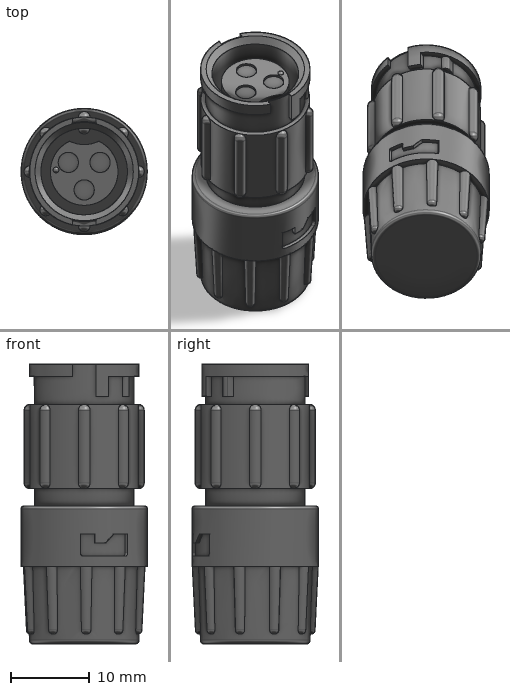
import cadquery as cq
import math

total_height = 35.43
flange_thickness = 1.55
flange_bottom = total_height - flange_thickness
lug_bottom = 31.34
collar_top = 30.34
collar_bottom = 19.66
sleeve_top = 17.48
sleeve_bottom = 9.82

flange_radius = 6.93
mouth_radius = 6.33
collar_radius = 6.9
neck_radius = 6.28
sleeve_radius = 8.0
sleeve_fillet = 0.38
nut_top_radius = 7.25
nut_bottom_radius = 6.93
nut_fillet = 0.5

flange_gap_width = 3.0
key_lug_width = 1.55
stop_radius = 0.65
stop_center_x = 5.05
stop_center_y = -3.49

collar_rib_count = 8
collar_rib_radius = 0.75
collar_rib_circle_radius = 6.86

lower_body_turn = 20.0

nut_rib_count = 10
nut_rib_top_radius = 0.74
nut_rib_end_radius = 0.6
nut_rib_end_round = 0.5
nut_rib_bottom = 1.27
nut_rib_overlap = 0.3

window_top = 13.91
window_bottom = 11.13
window_half_angle = 23.5
window_depth = 0.45
window_corner = 0.4
tooth_bottom = 12.81
tooth_angle = 10.0
tooth_slope_angle = 8.0

socket_radius = 5.48
socket_chamfer = 0.74
socket_depth = 8.0
socket_floor = total_height - socket_depth
key_radius = 0.72
key_dome_center = 32.8

insert_radius = 4.28
insert_top = 33.3
insert_notch_half_width = 1.86
insert_notch_bottom = 3.42
contact_count = 3
contact_radius = 1.28
contact_circle_radius = 2.32
contact_depth = 0.3
dot_radius = 0.36
dot_height = 0.2
dot_x = -3.57
dot_y = 0.2


def disc(radius, bottom, top):
    return cq.Workplane("XY").workplane(offset=bottom).circle(radius).extrude(top - bottom)


def about_axis(shape, angle):
    return shape.rotate((0, 0, 0), (0, 0, 1), angle)


def polar(radius, angle):
    """Point at an angle measured from -Y toward +X."""
    return radius * math.sin(math.radians(angle)), -radius * math.cos(math.radians(angle))


def make_nut():
    nut = (
        cq.Workplane("XZ")
        .moveTo(0, 0)
        .lineTo(nut_bottom_radius, 0)
        .lineTo(nut_top_radius, sleeve_bottom)
        .lineTo(0, sleeve_bottom)
        .close()
        .revolve(360, (0, 0, 0), (0, 1, 0))
    )
    return nut.faces("<Z").edges().fillet(nut_fillet)


def make_nut_rib(angle):
    """Tapered round rib with a rounded lower end, its axis lying on the nut's cone."""
    taper = math.atan2(nut_top_radius - nut_bottom_radius, sleeve_bottom)
    length = sleeve_bottom + nut_rib_overlap - nut_rib_bottom
    flat_radius = nut_rib_end_radius - nut_rib_end_round
    arc_offset = nut_rib_end_round * math.sqrt(0.5)
    rib = (
        cq.Workplane("XZ")
        .lineTo(flat_radius, 0)
        .threePointArc(
            (flat_radius + arc_offset, nut_rib_end_round - arc_offset),
            (nut_rib_end_radius, nut_rib_end_round),
        )
        .lineTo(nut_rib_top_radius, length)
        .lineTo(0, length)
        .close()
        .revolve(360, (0, 0, 0), (0, 1, 0))
    )
    start_radius = nut_bottom_radius + nut_rib_bottom * math.tan(taper)
    rib = rib.rotate((0, 0, 0), (1, 0, 0), math.degrees(taper))
    rib = rib.translate((0, -start_radius, nut_rib_bottom))
    rib = rib.intersect(disc(2 * sleeve_radius, 0, sleeve_bottom))
    return about_axis(rib, angle)


def make_sleeve():
    sleeve = disc(sleeve_radius, sleeve_bottom, sleeve_top)
    return sleeve.faces(">Z").edges().fillet(sleeve_fillet)


def window_sector(start_angle, end_angle, bottom, top):
    """Part of the ring just under the sleeve's surface between two angles and two heights."""
    floor_radius = sleeve_radius - window_depth
    middle_angle = (start_angle + end_angle) / 2
    return (
        cq.Workplane("XY")
        .workplane(offset=bottom)
        .moveTo(*polar(floor_radius, start_angle))
        .lineTo(*polar(sleeve_radius, start_angle))
        .threePointArc(polar(sleeve_radius, middle_angle), polar(sleeve_radius, end_angle))
        .lineTo(*polar(floor_radius, end_angle))
        .threePointArc(polar(floor_radius, middle_angle), polar(floor_radius, start_angle))
        .close()
        .extrude(top - bottom)
    )


def make_window():
    """Latch window: a ring sector with rounded lower corners and a hooked tooth at the top."""
    window = window_sector(-window_half_angle, window_half_angle, window_bottom, window_top)
    window = window.faces("<Z").edges("%LINE").fillet(window_corner)
    tooth = window_sector(-tooth_angle, 0, tooth_bottom, window_top)
    slope_width = sleeve_radius * math.sin(math.radians(tooth_slope_angle))
    slope = (
        cq.Workplane("XZ")
        .moveTo(0, tooth_bottom)
        .lineTo(slope_width, window_top)
        .lineTo(0, window_top)
        .close()
        .extrude(sleeve_radius)
    )
    return window.cut(tooth).cut(slope)


def make_collar_rib(angle):
    """Round rib with domed ends, centred just under the collar surface."""
    dome_bottom = collar_bottom + collar_rib_radius
    dome_top = collar_top - collar_rib_radius
    rib = disc(collar_rib_radius, dome_bottom, dome_top)
    for height in (dome_bottom, dome_top):
        rib = rib.union(cq.Workplane("XY").sphere(collar_rib_radius).translate((0, 0, height)))
    return about_axis(rib.translate((collar_rib_circle_radius, 0, 0)), angle)


def make_flange():
    """Bayonet flange, split into two halves by a gap along Y."""
    gap = cq.Workplane("XY").box(flange_gap_width, 2 * flange_radius, 2 * total_height)
    return disc(flange_radius, flange_bottom, total_height).cut(gap)


def make_key_lug():
    """Lug hanging below the flange beside the gap."""
    lug = (
        cq.Workplane("XY")
        .workplane(offset=lug_bottom)
        .moveTo(flange_gap_width / 2, 0)
        .rect(key_lug_width, -flange_radius, centered=False)
        .extrude(flange_bottom - lug_bottom)
    )
    return lug.intersect(disc(flange_radius, lug_bottom, flange_bottom))


def make_stop():
    """Stop below the flange: a round post with one flat side running back into the mouth."""
    post = (
        cq.Workplane("XY")
        .workplane(offset=lug_bottom)
        .center(stop_center_x, stop_center_y)
        .circle(stop_radius)
        .extrude(flange_bottom - lug_bottom)
    )
    flat_side = (
        cq.Workplane("XY")
        .workplane(offset=lug_bottom)
        .moveTo(stop_center_x, stop_center_y)
        .rect(stop_radius, -stop_center_y, centered=False)
        .extrude(flange_bottom - lug_bottom)
    )
    return post.union(flat_side)


def make_socket():
    """Round socket with a conical lead-in and a domed polarising key on its wall."""
    lead_in = (
        cq.Workplane("XY")
        .workplane(offset=total_height)
        .circle(socket_radius + socket_chamfer)
        .workplane(offset=-socket_chamfer)
        .circle(socket_radius)
        .loft()
    )
    key = disc(key_radius, socket_floor, key_dome_center)
    key = key.union(cq.Workplane("XY").sphere(key_radius).translate((0, 0, key_dome_center)))
    key = key.translate((0, socket_radius, 0))
    return disc(socket_radius, socket_floor, total_height).cut(key).union(lead_in)


def make_insert():
    """Contact carrier: a post with a concave key recess, three contacts and a marker dot."""
    notch_y = math.sqrt(insert_radius**2 - insert_notch_half_width**2)
    insert = (
        cq.Workplane("XY")
        .workplane(offset=socket_floor)
        .moveTo(-insert_notch_half_width, notch_y)
        .threePointArc((0, insert_notch_bottom), (insert_notch_half_width, notch_y))
        .threePointArc((0, -insert_radius), (-insert_notch_half_width, notch_y))
        .close()
        .extrude(insert_top - socket_floor)
    )
    for index in range(contact_count):
        x, y = polar(contact_circle_radius, index * 360 / contact_count)
        contact = disc(contact_radius, insert_top - contact_depth, insert_top)
        insert = insert.cut(contact.translate((x, y, 0)))
    dot_sphere_radius = (dot_radius**2 + dot_height**2) / (2 * dot_height)
    dot_center = (dot_x, dot_y, insert_top + dot_height - dot_sphere_radius)
    dot = cq.Workplane("XY").sphere(dot_sphere_radius).translate(dot_center)
    return insert.union(dot)


result = make_nut()
for index in range(nut_rib_count):
    rib_angle = lower_body_turn + (index + 0.5) * 360 / nut_rib_count
    result = result.union(make_nut_rib(rib_angle))
result = result.union(make_sleeve())
for half_turn in (0, 180):
    result = result.cut(about_axis(make_window(), lower_body_turn + half_turn))

result = result.union(disc(neck_radius, sleeve_top, collar_bottom))
result = result.union(disc(collar_radius, collar_bottom, collar_top))
for index in range(collar_rib_count):
    result = result.union(make_collar_rib(index * 360 / collar_rib_count))
result = result.union(disc(mouth_radius, collar_top, total_height))
result = result.union(make_flange())
for half_turn in (0, 180):
    result = result.union(about_axis(make_key_lug(), half_turn))
    result = result.union(about_axis(make_stop(), half_turn))

result = result.cut(make_socket())
result = result.union(make_insert())